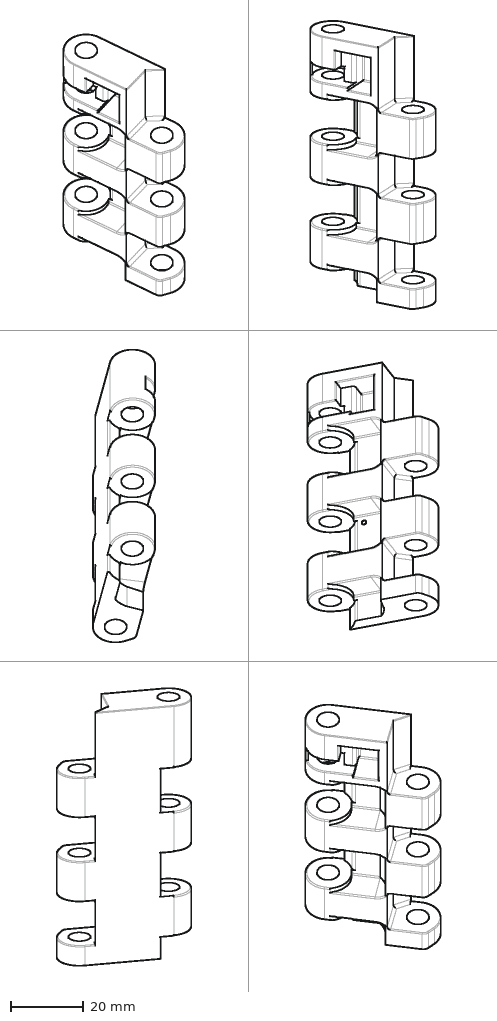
import cadquery as cq
import math

length = 76.1
width = 38.05
thickness = 12.7
pitch = length / 3
end_radius = thickness / 2
pin_diameter = 6.2
left_pin_x = end_radius
right_pin_x = width - end_radius
pin_y = end_radius

body_front_x = 24.1
body_corner_x = 24.3
body_corner_y = 9.2
body_back_x = 28.6
body_tip = 0.4
top_fillet = 0.2

right_knuckle_height = 12.2
knuckle_root_x = 22.1
flank_angle = math.radians(55)
flank_fillet = 2.0
right_rim_fillet = 0.3
foot_fillet = 0.9

gap_height = 13.25
gap_radius = 6.8
boss_radius = 6.55
left_rim_fillet = 0.4
pocket_height = 16.1
pocket_depth = 8.5
pocket_floor_x = 20.6
pocket_bend_x = 22.8
pocket_bend_y = 4.9
pocket_mouth_x = 23.6
wall_bulge = 0.3
mouth_half_height = 6.25
pocket_fillet = 0.4
web_fillet = 1.2
web_back_fillet = 0.4

mark_diameter = 1.3
mark_depth = 0.15
mark_x = 15.5
mark_z = 31.05

window_left_x = 10.4
window_step_x = 14.6
window_right_x = 21.6
window_bottom_z = 61.5
window_top_z = 72.45
shelf_depth = 3.7
step_fillet = 1.0
window_fillet = 0.4
slot_bottom_z = 62.3
slot_top_z = 66.7
slot_radius = 5.7
slot_fillet = 0.3

gap_centres = [i * pitch for i in range(3)]
margin = 0.75
tolerance = 0.04


def box(x0, x1, y0, y1, z0, z1):
    return cq.Workplane("XY", origin=(x0, y0, z0)).box(x1 - x0, y1 - y0, z1 - z0, centered=False)


def pin_cylinder(x, radius, z0, z1):
    return cq.Workplane("XY", origin=(x, pin_y, z0)).circle(radius).extrude(z1 - z0)


def edges_in(part, x0, x1, y0, y1, z0, z1):
    """Edges lying wholly inside a box."""
    low = (x0 - tolerance, y0 - tolerance, z0 - tolerance)
    high = (x1 + tolerance, y1 + tolerance, z1 + tolerance)
    return part.edges(cq.selectors.BoxSelector(low, high, boundingbox=True))


def edge_near(part, x, y, z):
    return part.edges(cq.selectors.NearestToPointSelector((x, y, z)))


def make_body():
    body = (
        cq.Workplane("XY")
        .moveTo(left_pin_x, 0)
        .lineTo(body_front_x, 0)
        .lineTo(body_corner_x, body_corner_y)
        .lineTo(body_back_x, thickness - body_tip)
        .lineTo(body_back_x, thickness)
        .lineTo(left_pin_x, thickness)
        .threePointArc((0, pin_y), (left_pin_x, 0))
        .close()
        .extrude(length)
    )
    return body.faces(">Z").edges().fillet(top_fillet)


def make_right_knuckle(z0, z1):
    corner_x = right_pin_x + end_radius * math.tan(flank_angle / 2)
    tangent_x = right_pin_x + end_radius * math.sin(flank_angle)
    tangent_y = pin_y - end_radius * math.cos(flank_angle)
    knuckle = (
        cq.Workplane("XY", origin=(0, 0, z0))
        .moveTo(knuckle_root_x, 0)
        .lineTo(corner_x, 0)
        .lineTo(tangent_x, tangent_y)
        .threePointArc((width, pin_y), (right_pin_x, thickness))
        .lineTo(knuckle_root_x, thickness)
        .close()
        .extrude(z1 - z0)
    )
    knuckle = edge_near(knuckle, corner_x, 0, (z0 + z1) / 2).fillet(flank_fillet)
    rim = [
        edge
        for edge in knuckle.faces("<Z or >Z").edges().vals()
        if edge.BoundingBox().xmax > knuckle_root_x + tolerance
    ]
    return knuckle.newObject(rim).fillet(right_rim_fillet)


def fillet_foot(part, z):
    """Round the corner between the body's right face and a knuckle face."""
    foot = edges_in(part, body_front_x, body_back_x, 0, thickness - body_tip, z, z)
    return foot.fillet(foot_fillet)


def make_pocket(z_mid):
    """Pocket open to the front and to the left, rounded where the floor meets its end walls."""
    half = pocket_height / 2
    run_x = pocket_bend_x - pocket_floor_x
    run_y = pocket_depth - pocket_bend_y
    chord = math.hypot(run_x, run_y)
    wall_x = pocket_floor_x + run_x / 2 + wall_bulge * run_y / chord
    wall_y = pocket_bend_y + run_y / 2 + wall_bulge * run_x / chord
    plan = (
        cq.Workplane("XY", origin=(0, 0, z_mid - pocket_height))
        .moveTo(-margin, -margin)
        .lineTo(-margin, pocket_depth)
        .lineTo(pocket_floor_x, pocket_depth)
        .threePointArc((wall_x, wall_y), (pocket_bend_x, pocket_bend_y))
        .lineTo(pocket_mouth_x, 0)
        .lineTo(pocket_mouth_x, -margin)
        .close()
        .extrude(2 * pocket_height)
    )

    narrowing_x = body_front_x - pocket_floor_x
    narrowing_z = half - mouth_half_height
    arc_radius = (narrowing_x**2 + narrowing_z**2) / (2 * narrowing_z)
    half_sweep = math.atan2(narrowing_z, narrowing_x)
    arc_x = pocket_floor_x + arc_radius * math.sin(half_sweep)
    arc_z = half - arc_radius * (1 - math.cos(half_sweep))
    elevation = (
        cq.Workplane("XZ", origin=(0, -margin, z_mid))
        .moveTo(-margin, -half)
        .lineTo(pocket_floor_x, -half)
        .threePointArc((arc_x, -arc_z), (body_front_x, -mouth_half_height))
        .lineTo(body_front_x, mouth_half_height)
        .threePointArc((arc_x, arc_z), (pocket_floor_x, half))
        .lineTo(-margin, half)
        .close()
        .extrude(-(thickness + margin))
    )
    pocket = plan.intersect(elevation)
    for z in (z_mid - half, z_mid + half):
        floor = edges_in(pocket, -margin, pocket_floor_x, pocket_depth, pocket_depth, z, z)
        pocket = floor.fillet(pocket_fillet)
    return pocket


def cut_pocket(part, z_mid):
    half = pocket_height / 2
    part = part.cut(make_pocket(z_mid))
    mouth = edges_in(part, left_pin_x, pocket_mouth_x, 0, 0, z_mid - half, z_mid + half)
    return mouth.fillet(pocket_fillet)


def cut_gap(part, z_mid):
    """Clear the space around the left pin and round both edges of the web left beside it."""
    end_z0 = z_mid - pocket_height / 2
    end_z1 = z_mid + pocket_height / 2
    part = part.cut(box(-margin, left_pin_x, -margin, thickness + margin, end_z0, end_z1))
    z0 = z_mid - gap_height / 2
    z1 = z_mid + gap_height / 2
    part = part.cut(pin_cylinder(left_pin_x, gap_radius, z0, z1))

    web_z = (max(z0, 0) + z1) / 2
    floor_x = left_pin_x + math.sqrt(gap_radius**2 - (pocket_depth - pin_y) ** 2)
    back_x = left_pin_x + math.sqrt(gap_radius**2 - end_radius**2)
    part = edge_near(part, floor_x, pocket_depth, web_z).fillet(web_fillet)
    return edge_near(part, back_x, thickness, web_z).fillet(web_back_fillet)


def make_left_knuckle(z0, z1, rounded_ends):
    """Full-height boss around the left pin, rounded along its outer edges."""
    flat_x = left_pin_x + math.sqrt(boss_radius**2 - end_radius**2)
    knuckle = (
        cq.Workplane("XY", origin=(0, 0, z0))
        .moveTo(left_pin_x, 0)
        .lineTo(flat_x, 0)
        .threePointArc((left_pin_x + boss_radius, pin_y), (flat_x, thickness))
        .lineTo(left_pin_x, thickness)
        .threePointArc((0, pin_y), (left_pin_x, 0))
        .close()
        .extrude(z1 - z0)
    )
    outer = [edge for edge in knuckle.faces(rounded_ends).edges().vals() if edge.Center().x < flat_x]
    return knuckle.newObject(outer).fillet(left_rim_fillet)


def make_window():
    """Window with a deep right part and a shallow shelf, joined by a rounded step."""
    deep = box(window_step_x, window_right_x, -margin, pocket_depth, window_bottom_z, window_top_z)
    deep = deep.faces(">Y").edges().fillet(window_fillet)
    shelf = box(window_left_x, window_right_x - margin, -margin, shelf_depth, slot_bottom_z, window_top_z)
    window = deep.union(shelf)
    step_z = (slot_bottom_z + window_top_z) / 2
    return edge_near(window, window_step_x, shelf_depth, step_z).fillet(step_fillet)


def make_slot():
    """Slot around the left pin, open to the front and running into the window."""
    front = box(-margin, window_step_x, -margin, shelf_depth, slot_bottom_z, slot_top_z)
    recess = pin_cylinder(left_pin_x, slot_radius, slot_bottom_z, slot_top_z)
    return front.union(recess)


result = make_body()
right_half = right_knuckle_height / 2
for z in gap_centres:
    result = result.union(make_right_knuckle(z - right_half, z + right_half))
result = result.cut(box(-margin, width + margin, -margin, thickness + margin, -pitch, 0))
for z in gap_centres:
    result = fillet_foot(result, z + right_half)
    if z > right_half:
        result = fillet_foot(result, z - right_half)

for z in gap_centres:
    result = cut_pocket(result, z)
    result = cut_gap(result, z)
for z in gap_centres:
    bottom_z = z + gap_height / 2
    if z == gap_centres[-1]:
        result = result.union(make_left_knuckle(bottom_z, length - margin, "<Z"))
    else:
        result = result.union(make_left_knuckle(bottom_z, z + pitch - gap_height / 2, "<Z or >Z"))

result = result.cut(make_window().union(make_slot()))
front_edges = edges_in(result, left_pin_x, window_right_x, 0, 0, window_bottom_z, window_top_z)
result = front_edges.fillet(slot_fillet)

mark = (
    cq.Workplane("XZ", origin=(mark_x, pocket_depth - margin, mark_z))
    .circle(mark_diameter / 2)
    .extrude(-(margin + mark_depth))
)
result = result.cut(mark)
for x in (left_pin_x, right_pin_x):
    result = result.cut(pin_cylinder(x, pin_diameter / 2, -margin, length + margin))